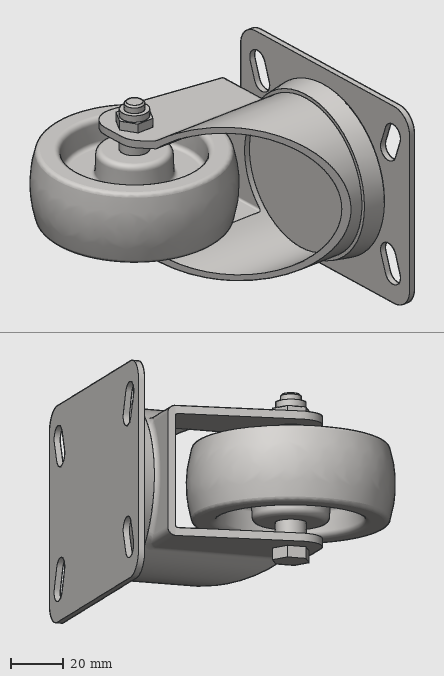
import cadquery as cq
import math


overall_length = 127
overall_height = 106.7

plate_length = 100.0
plate_width = 85.0
plate_thickness = 2.5
plate_corner_radius = 9.0
slot_width = 9.0
slot_outer_x, slot_outer_z = 40.0, 30.0
slot_inner_x, slot_inner_z = 37.3, 22.4

neck_diameter = 69.6
neck_height = 0.8
collar_top_diameter = 72.1
collar_bottom_diameter = 69.1
collar_bottom_y = -12.1
housing_diameter = 66
cavity_diameter = 61
housing_wall = (housing_diameter - cavity_diameter) / 2

wheel_diameter = 80
wheel_width = 30.0
wheel_x = plate_length / 2 + wheel_diameter / 2 - overall_length
wheel_y = wheel_diameter / 2 - overall_height
tread_edge_radius = 37.6
rim_edge_fillet = 2.0
rim_inner_radius = 28
recess_mouth_fillet = 2.4
hub_radius = 15.2
recess_draft = 2.5
web_fillet = 1.9
web_thickness = 7.0

fork_outer_width = 51.0
fork_thickness = 3.2
fork_inner_width = fork_outer_width - 2 * fork_thickness
fork_top_y = -13.8
fork_bottom_y = -77.1
fork_reach = 63.5
fork_left_x = -44.7
fork_left_slope = 0.15
fork_corner_radius = 10.0
fork_bend_radius = fork_thickness
fork_inner_fillet = 0.9
fork_joint_fillet = 4.0
cut_x, cut_y = housing_diameter / 2, -17.5
cut_slope = 0.97

spacer_diameter = 12.0
hex_across_flats = 13.0
bolt_head_height = 4.6
nut_hex_height = 3.8
nut_collar_diameter = 11.7
nut_collar_height = 2.8
bolt_diameter = 8.0
bolt_end_z = 35.3
bolt_chamfer = 0.8


def cylinder_down(diameter, top_y, bottom_y):
    """Cylinder on the swivel axis between two heights."""
    disc = cq.Workplane("XZ", origin=(0, top_y, 0)).circle(diameter / 2)
    return disc.extrude(top_y - bottom_y)


def make_plate():
    plate = (
        cq.Workplane("XZ")
        .rect(plate_length, plate_width)
        .extrude(plate_thickness)
        .edges("|Y")
        .fillet(plate_corner_radius)
    )
    run_x = slot_outer_x - slot_inner_x
    run_z = slot_outer_z - slot_inner_z
    slot_length = math.hypot(run_x, run_z) + slot_width
    slot_angle = math.degrees(math.atan2(run_z, run_x))
    middle_x = (slot_outer_x + slot_inner_x) / 2
    middle_z = (slot_outer_z + slot_inner_z) / 2
    for side_x in (-1, 1):
        for side_z in (-1, 1):
            slot = (
                cq.Workplane("XZ")
                .center(side_x * middle_x, side_z * middle_z)
                .slot2D(slot_length, slot_width, side_x * side_z * slot_angle)
                .extrude(plate_thickness)
            )
            plate = plate.cut(slot)
    return plate


def make_collar():
    neck_bottom_y = -plate_thickness - neck_height
    neck = cylinder_down(neck_diameter, -plate_thickness, neck_bottom_y)
    cone = (
        cq.Workplane("XZ", origin=(0, neck_bottom_y, 0))
        .circle(collar_top_diameter / 2)
        .workplane(offset=neck_bottom_y - collar_bottom_y)
        .circle(collar_bottom_diameter / 2)
        .loft()
    )
    return neck.union(cone)


def make_side_outline():
    """Block with the outline that the fork and the housing share when seen along the axle."""
    top_y = -plate_thickness
    cut_bottom_x = cut_x + (fork_bottom_y - cut_y) / cut_slope
    slant_top_y = fork_top_y - fork_thickness
    left_bottom_x = fork_left_x + (fork_bottom_y - slant_top_y) * fork_left_slope
    return (
        cq.Workplane("XY")
        .moveTo(fork_left_x, top_y)
        .lineTo(cut_x, top_y)
        .lineTo(cut_x, cut_y)
        .lineTo(cut_bottom_x, fork_bottom_y)
        .lineTo(left_bottom_x, fork_bottom_y)
        .lineTo(fork_left_x, slant_top_y)
        .close()
        .extrude(housing_diameter / 2, both=True)
        .faces("<Y")
        .edges("|Z")
        .fillet(fork_corner_radius)
    )


def make_outer_body():
    """Solid fork and housing, blended along the corner where they meet."""
    fork = (
        cq.Workplane("XY")
        .box(fork_reach, fork_top_y - fork_bottom_y, fork_outer_width, centered=(False, False, True))
        .translate((-fork_reach, fork_bottom_y, 0))
        .faces(">Y")
        .edges("|X")
        .fillet(fork_bend_radius)
    )
    housing = cylinder_down(housing_diameter, -plate_thickness, fork_bottom_y)
    joint_x = -math.sqrt((housing_diameter / 2) ** 2 - (fork_outer_width / 2) ** 2)
    margin = 1.3
    joint_box = cq.selectors.BoxSelector(
        (-housing_diameter / 2, fork_bottom_y + margin, -fork_outer_width / 2 - margin),
        (joint_x + margin, fork_top_y + margin, fork_outer_width / 2 + margin),
    )
    body = fork.union(housing)
    body = body.edges(joint_box).fillet(fork_joint_fillet)
    return body.intersect(make_side_outline())


def make_fork_and_housing():
    gap_height = fork_top_y - fork_thickness - fork_bottom_y
    gap = (
        cq.Workplane("XY")
        .box(fork_reach, gap_height, fork_inner_width, centered=(False, False, True))
        .faces(">Y")
        .edges("|X")
        .fillet(fork_inner_fillet)
        .translate((-fork_reach, fork_bottom_y, 0))
    )
    cavity = cylinder_down(cavity_diameter, collar_bottom_y - housing_wall, fork_bottom_y)
    return make_outer_body().cut(gap).cut(cavity)


def make_wheel():
    """Crowned wheel with a recess on each side that leaves a web and a hub."""
    half_width = wheel_width / 2
    half_web = web_thickness / 2
    wheel = (
        cq.Workplane("XZ")
        .moveTo(0, -half_width)
        .lineTo(tread_edge_radius, -half_width)
        .threePointArc((wheel_diameter / 2, 0), (tread_edge_radius, half_width))
        .lineTo(0, half_width)
        .close()
        .revolve(360, (0, 0), (0, 1))
        .faces("<Z or >Z")
        .edges()
        .fillet(rim_edge_fillet)
    )
    web_face = cq.Workplane("XY", origin=(0, 0, half_web))
    recess_depth = half_width - half_web
    rim_bore = web_face.circle(rim_inner_radius).extrude(recess_depth, taper=-recess_draft)
    hub = web_face.circle(hub_radius).extrude(recess_depth, taper=recess_draft)
    recess = rim_bore.cut(hub).faces("<Z").edges().fillet(web_fillet)
    wheel = wheel.cut(recess).cut(recess.mirror("XY"))
    hub_edge_rank, rim_edge_rank = 0, 1
    for face in (">Z", "<Z"):
        for edge_rank in (hub_edge_rank, rim_edge_rank):
            mouth_edge = wheel.faces(face).edges(cq.selectors.RadiusNthSelector(edge_rank))
            wheel = mouth_edge.fillet(recess_mouth_fillet)
    return wheel.translate((wheel_x, wheel_y, 0))


def axle_cylinder(diameter, bottom_z, top_z):
    """Cylinder on the axle between two heights."""
    disc = cq.Workplane("XY", origin=(wheel_x, wheel_y, bottom_z)).circle(diameter / 2)
    return disc.extrude(top_z - bottom_z)


def axle_hexagon(bottom_z, top_z):
    """Hexagon with two flats facing along X."""
    start = cq.Workplane("XY", origin=(wheel_x, wheel_y, bottom_z))
    hexagon_sides = 6
    return start.polygon(hexagon_sides, hex_across_flats, circumscribed=True).extrude(top_z - bottom_z)


def make_axle():
    fork_face_z = fork_outer_width / 2
    nut_top_z = fork_face_z + nut_hex_height
    spacer = axle_cylinder(spacer_diameter, -fork_inner_width / 2, fork_inner_width / 2)
    head = axle_hexagon(-fork_face_z - bolt_head_height, -fork_face_z)
    nut = axle_hexagon(fork_face_z, nut_top_z)
    nut_collar = axle_cylinder(nut_collar_diameter, nut_top_z, nut_top_z + nut_collar_height)
    bolt = axle_cylinder(bolt_diameter, -fork_face_z, bolt_end_z)
    bolt = bolt.faces(">Z").chamfer(bolt_chamfer)
    return spacer.union(head).union(nut).union(nut_collar).union(bolt)


result = (
    make_plate()
    .union(make_collar())
    .union(make_fork_and_housing())
    .union(make_wheel())
    .union(make_axle())
)